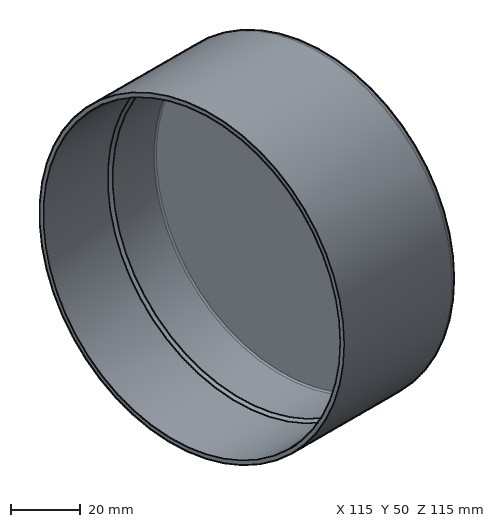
import cadquery as cq

outer_diameter = 115.0
height = 50.0
mouth_diameter = 112.0
bore_diameter = 110.0
mouth_depth = 28.2
outer_fillet = 3.0

wall = (outer_diameter - bore_diameter) / 2
floor_depth = height - wall
inner_fillet = outer_fillet - wall
step_length = (mouth_diameter - bore_diameter) / 2


def disc(diameter, length):
    """Cylinder along +Y that starts at the open end."""
    return cq.Workplane("XZ").circle(diameter / 2).extrude(-length)


def round_inner_end(cylinder, radius):
    """Fillet the cylinder's edge at its +Y end."""
    return cylinder.faces(">Y").edges().fillet(radius)


body = round_inner_end(disc(outer_diameter, height), outer_fillet)

mouth = disc(mouth_diameter, mouth_depth + step_length).faces(">Y").chamfer(step_length)

bore = round_inner_end(disc(bore_diameter, floor_depth), inner_fillet)

result = body.cut(mouth).cut(bore)